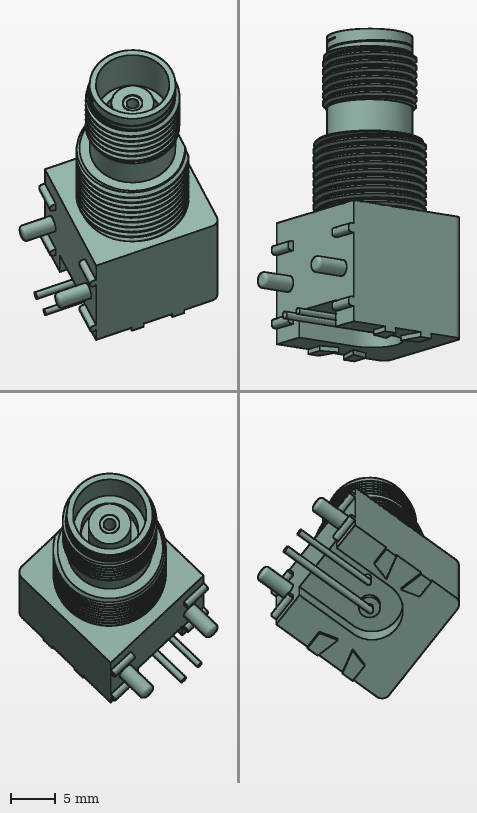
import cadquery as cq


WIDTH = 14.7
DEPTH = 15.15
FOOT_HEIGHT = 0.57
BLOCK_TOP = 14.52
FRONT_Y = -DEPTH / 2
BACK_CORNER_RADIUS = 1.0

FOOT_OUTLINE = [(WIDTH / 2, 3.2), (5.1, 3.2), (4.5, 1.03), (WIDTH / 2, 1.75)]

CAVITY_LEFT = -3.0
CAVITY_RIGHT = 3.95
CAVITY_CEILING = 3.62

CONTACT_REACH = 4.22
CONTACT_Z = 2.05
CENTRE_CONTACT_DIAMETER = 0.8
GROUND_CONTACT_DIAMETER = 0.7
GROUND_CONTACT_X = 2.52
GROUND_CONTACT_BACK_Y = -2.13
INSULATOR_RADIUS = 1.2
INSULATOR_BOTTOM = 2.85

PEG_SPACING = 10.2
PEG_Z = 7.1
PEG_RADIUS = 0.92
PEG_LENGTH = 3.8
PEG_TIP_FILLET = 0.4
RIB_LENGTH = 3.15
RIB_HEIGHT = 1.05
RIB_REACH = 0.7
RIB_FILLET = 0.43
RIB_SPACING = 8.45

THREAD_SPAN = 4.58
SPAN_TURNS = 5
PITCH = THREAD_SPAN / SPAN_TURNS
CREST_WIDTH = 0.2
ROOT_WIDTH = 0.9
THREAD_OVERLAP = 0.1

COLLAR_TOP = 23.55
COLLAR_CREST_RADIUS = 6.35
COLLAR_CORE_RADIUS = 5.85
COLLAR_FLAT_Y = 5.5
COLLAR_CHAMFER = 0.5

TOTAL_HEIGHT = 35.5
BARREL_RADIUS = 4.83
COUPLING_BOTTOM = 27.35
COUPLING_TOP = 33.48
COUPLING_CREST_RADIUS = 5.3
COUPLING_CHAMFER = 0.43
RUNOUT_TOP = 34.9
RUNOUT_TURNS = 2
RUNOUT_END_ANGLE = -90
RUNOUT_DEPTH = 0.055
RUNOUT_WIDTH = 0.15

BORE_RADIUS = 4.12
BORE_FLOOR = 29.82
SEAT_RADIUS = 3.23
SEAT_FLOOR = 27.7
POST_RADIUS = 2.38
POST_TOP = 32.05
SOCKET_RADIUS = 1.1
SOCKET_RECESS = 0.18
SOCKET_HOLE_RADIUS = 0.67


def cylinder(radius, bottom, top):
    return cq.Workplane("XY").workplane(offset=bottom).circle(radius).extrude(top - bottom)


def make_block():
    block = (
        cq.Workplane("XY")
        .workplane(offset=FOOT_HEIGHT)
        .rect(WIDTH, DEPTH)
        .extrude(BLOCK_TOP - FOOT_HEIGHT)
        .edges("|Z and >Y")
        .fillet(BACK_CORNER_RADIUS)
    )
    radius = (CAVITY_RIGHT - CAVITY_LEFT) / 2
    centre_x = (CAVITY_RIGHT + CAVITY_LEFT) / 2
    cavity = (
        cq.Workplane("XY")
        .moveTo(CAVITY_LEFT, FRONT_Y)
        .lineTo(CAVITY_LEFT, 0)
        .threePointArc((centre_x, radius), (CAVITY_RIGHT, 0))
        .lineTo(CAVITY_RIGHT, FRONT_Y)
        .close()
        .extrude(CAVITY_CEILING)
    )
    return block.cut(cavity)


def make_feet():
    foot = cq.Workplane("XY").polyline(FOOT_OUTLINE).close().extrude(FOOT_HEIGHT)
    pair = foot.union(foot.mirror("XZ"))
    return pair.union(pair.mirror("YZ"))


def make_peg(x):
    peg = cq.Workplane("XZ", origin=(x, FRONT_Y, PEG_Z)).circle(PEG_RADIUS).extrude(PEG_LENGTH)
    return peg.faces("<Y").edges().fillet(PEG_TIP_FILLET)


def make_rib(side, z):
    """Rib with a rounded nose, running inward from one side of the front face."""
    centre = (side * (WIDTH - RIB_LENGTH) / 2, FRONT_Y - RIB_REACH / 2, z)
    rib = cq.Workplane("XY").box(RIB_LENGTH, RIB_REACH, RIB_HEIGHT)
    return rib.edges("<Y and |X").fillet(RIB_FILLET).translate(centre)


def make_contact(x, back_y, diameter):
    """Wire that drops from the cavity ceiling and bends square out to the front."""
    path = (
        cq.Workplane("YZ", origin=(x, 0, 0))
        .moveTo(back_y, CAVITY_CEILING)
        .lineTo(back_y, CONTACT_Z)
        .lineTo(FRONT_Y - CONTACT_REACH, CONTACT_Z)
    )
    profile = cq.Workplane("XY", origin=(x, back_y, CAVITY_CEILING)).circle(diameter / 2)
    return profile.sweep(path, transition="right")


def make_housing():
    """Block with everything that stands on its front face and underside."""
    housing = make_block().union(make_feet())
    for side in (-1, 1):
        housing = housing.union(make_peg(side * PEG_SPACING / 2))
        for z in (PEG_Z - RIB_SPACING / 2, PEG_Z + RIB_SPACING / 2):
            housing = housing.union(make_rib(side, z))
    housing = housing.union(cylinder(INSULATOR_RADIUS, INSULATOR_BOTTOM, CAVITY_CEILING))
    housing = housing.union(make_contact(0, 0, CENTRE_CONTACT_DIAMETER))
    return housing.union(make_contact(GROUND_CONTACT_X, GROUND_CONTACT_BACK_Y, GROUND_CONTACT_DIAMETER))


def sweep_helix(profile, radius, start, turns):
    """Sweep an XZ outline along a right-hand helix that starts on +X at the given height."""
    helix = cq.Wire.makeHelix(PITCH, turns * PITCH, radius).translate(cq.Vector(0, 0, start))
    return cq.Workplane("XZ").polyline(profile).close().sweep(cq.Workplane(helix), isFrenet=True)


def make_ridge(core_radius, crest_radius, envelope, bottom, top):
    """Helical thread ridge for a cylinder, trimmed to the envelope."""
    inner = core_radius - THREAD_OVERLAP
    start = bottom - PITCH
    profile = [
        (inner, start - ROOT_WIDTH / 2),
        (crest_radius, start - CREST_WIDTH / 2),
        (crest_radius, start + CREST_WIDTH / 2),
        (inner, start + ROOT_WIDTH / 2),
    ]
    ridge = sweep_helix(profile, inner, start, (top - bottom) / PITCH + 2)
    return ridge.intersect(envelope, clean=False)


def cut_collar_flat(body):
    size = 4 * COLLAR_CREST_RADIUS
    behind_flat = cq.Workplane("XY").box(size, size, TOTAL_HEIGHT, centered=(True, False, False))
    return body.cut(behind_flat.translate((0, COLLAR_FLAT_Y, 0)))


def make_collar_ridge():
    envelope = cylinder(COLLAR_CREST_RADIUS + THREAD_OVERLAP, BLOCK_TOP, COLLAR_TOP)
    envelope = cut_collar_flat(envelope.faces(">Z").edges().chamfer(COLLAR_CHAMFER))
    return make_ridge(COLLAR_CORE_RADIUS, COLLAR_CREST_RADIUS, envelope, BLOCK_TOP, COLLAR_TOP)


def make_coupling_ridge():
    envelope = cylinder(COUPLING_CREST_RADIUS + THREAD_OVERLAP, COUPLING_BOTTOM, COUPLING_TOP)
    envelope = envelope.edges("%CIRCLE").chamfer(COUPLING_CHAMFER)
    return make_ridge(BARREL_RADIUS, COUPLING_CREST_RADIUS, envelope, COUPLING_BOTTOM, COUPLING_TOP)


def make_runout_groove():
    """Fine V groove that carries the root of the coupling thread up onto the plain lip."""
    profile = [
        (BARREL_RADIUS - RUNOUT_DEPTH, 0),
        (BARREL_RADIUS + RUNOUT_DEPTH, -RUNOUT_WIDTH),
        (BARREL_RADIUS + RUNOUT_DEPTH, RUNOUT_WIDTH),
    ]
    groove = sweep_helix(profile, BARREL_RADIUS, 0, RUNOUT_TURNS)
    groove = groove.rotate((0, 0, 0), (0, 0, 1), RUNOUT_END_ANGLE)
    return groove.translate((0, 0, RUNOUT_TOP - RUNOUT_TURNS * PITCH))


def make_socket_void():
    """Stepped bore around the insulator post, with the centre contact sunk into the post."""
    post = cylinder(POST_RADIUS, SEAT_FLOOR, POST_TOP)
    post = post.cut(cylinder(SOCKET_RADIUS, POST_TOP - SOCKET_RECESS, POST_TOP))
    post = post.cut(cylinder(SOCKET_HOLE_RADIUS, SEAT_FLOOR, POST_TOP))
    bore = cylinder(BORE_RADIUS, BORE_FLOOR, TOTAL_HEIGHT)
    return bore.union(cylinder(SEAT_RADIUS, SEAT_FLOOR, TOTAL_HEIGHT)).cut(post)


collar_core = cut_collar_flat(cylinder(COLLAR_CORE_RADIUS, BLOCK_TOP, COLLAR_TOP))
barrel = cylinder(BARREL_RADIUS, BLOCK_TOP, TOTAL_HEIGHT).cut(make_socket_void())
barrel = barrel.cut(make_runout_groove())

result = make_housing().union(collar_core).union(barrel)
result = result.union(make_collar_ridge())
result = result.union(make_coupling_ridge())